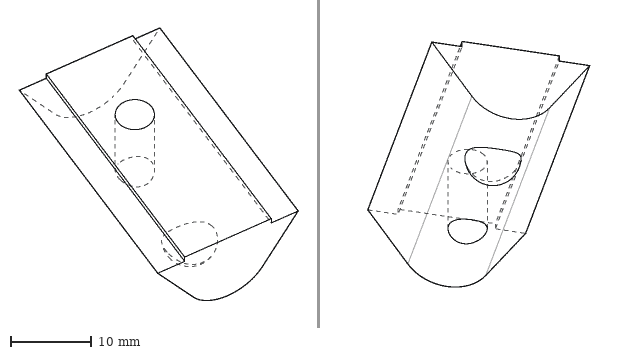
import cadquery as cq
import math

length = 34.5
width = 20.3
body_height = 11.2

land_width = 12.5
land_height = 0.83

nose_radius = 6.0

hole_diameter = 4.9
hole_x = 11.28
ball_radius = 3.52
ball_x = 24.95
overall_height = 13.5


def make_bar():
    """Extrude the V-shaped section, whose flanks run tangent into the nose."""
    half_width = width / 2
    half_land = land_width / 2
    nose_center_z = nose_radius - body_height

    tip_rise = -land_height - nose_center_z
    tip_distance = math.hypot(half_width, tip_rise)
    tip_angle = math.atan2(tip_rise, half_width)
    tangent_angle = tip_angle - math.acos(nose_radius / tip_distance)
    tangent_y = nose_radius * math.cos(tangent_angle)
    tangent_z = nose_center_z + nose_radius * math.sin(tangent_angle)

    return (
        cq.Workplane("YZ")
        .moveTo(-half_land, 0)
        .lineTo(half_land, 0)
        .lineTo(half_land, -land_height)
        .lineTo(half_width, -land_height)
        .lineTo(tangent_y, tangent_z)
        .threePointArc((0, -body_height), (-tangent_y, tangent_z))
        .lineTo(-half_width, -land_height)
        .lineTo(-half_land, -land_height)
        .close()
        .extrude(length)
    )


def make_hole():
    """Vertical bore through the full height of the bar."""
    return (
        cq.Workplane("XY")
        .center(hole_x, 0)
        .circle(hole_diameter / 2)
        .extrude(-body_height)
    )


def make_ball():
    """Ball that protrudes from the rounded underside."""
    ball_center_z = ball_radius - overall_height
    return cq.Workplane("XY").sphere(ball_radius).translate((ball_x, 0, ball_center_z))


result = make_bar().cut(make_hole()).union(make_ball())